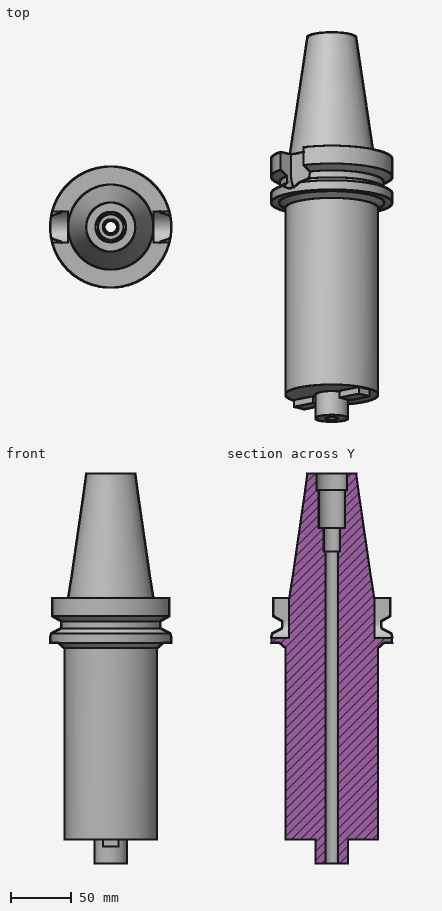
import cadquery as cq
import math

total_length = 321.8

taper_ratio = 7 / 24
taper_length = 101.7
gauge_radius = 35.0
small_end_radius = gauge_radius - taper_length * taper_ratio / 2
tip_z = taper_length - total_length

flange_diameter = 100.0
flange_radius = flange_diameter / 2
flange_top_z = -1.0
flange_bottom_z = -38.0
groove_centre_z = -23.2
groove_mouth_width = 14.0
groove_floor_radius = 42.8
groove_wall_angle = 30

collar_radius = 43.5
collar_bottom_z = -42.5
body_radius = 38.3
pilot_length = 20.0
pilot_radius = 13.5
body_bottom_z = tip_z + pilot_length

slot_width = 25.7
slot_floor_x = 35.5
slot_bottom_z = -33.8

key_width = 13.0
key_height = 5.8
key_inner_y = 14.8
key_outer_y = 36.5

mouth_bore_radius = 12.5
mouth_bore_depth = 13.8
thread_bore_radius = 10.5
thread_bore_depth = 45.0
relief_bore_radius = 6.5
relief_bore_depth = 64.5
through_bore_radius = 5.0


def turned_blank():
    groove_half_mouth = groove_mouth_width / 2
    groove_wall_height = (flange_radius - groove_floor_radius) * math.tan(math.radians(groove_wall_angle))
    groove_half_floor = groove_half_mouth - groove_wall_height
    profile = [
        (0, taper_length),
        (small_end_radius, taper_length),
        (gauge_radius, 0),
        (gauge_radius, flange_top_z),
        (flange_radius, flange_top_z),
        (flange_radius, groove_centre_z + groove_half_mouth),
        (groove_floor_radius, groove_centre_z + groove_half_floor),
        (groove_floor_radius, groove_centre_z - groove_half_floor),
        (flange_radius, groove_centre_z - groove_half_mouth),
        (flange_radius, flange_bottom_z),
        (collar_radius, flange_bottom_z),
        (body_radius, collar_bottom_z),
        (body_radius, body_bottom_z),
        (pilot_radius, body_bottom_z),
        (pilot_radius, tip_z),
        (0, tip_z),
    ]
    return cq.Workplane("YZ").polyline(profile).close().revolve(360, (0, 0), (0, 1))


def drive_slot(side):
    """Round-bottomed slot cutter on the +X (side = 1) or -X (side = -1) flank."""
    half_width = slot_width / 2
    arc_centre_z = slot_bottom_z + half_width
    return (
        cq.Workplane("YZ", origin=(side * slot_floor_x, 0, 0))
        .moveTo(-half_width, flange_top_z)
        .lineTo(-half_width, arc_centre_z)
        .threePointArc((0, slot_bottom_z), (half_width, arc_centre_z))
        .lineTo(half_width, flange_top_z)
        .close()
        .extrude(side * flange_radius)
    )


def drive_key(side):
    """Rectangular key below the body on the +Y (side = 1) or -Y (side = -1) side."""
    key_length = key_outer_y - key_inner_y
    centre_y = side * (key_inner_y + key_outer_y) / 2
    return (
        cq.Workplane("XY", origin=(0, centre_y, body_bottom_z))
        .rect(key_width, key_length)
        .extrude(-key_height)
    )


def bore(radius, depth):
    return cq.Workplane("XY", origin=(0, 0, taper_length)).circle(radius).extrude(-depth)


result = turned_blank()
for side in (-1, 1):
    result = result.cut(drive_slot(side)).union(drive_key(side))

bore_steps = [
    (mouth_bore_radius, mouth_bore_depth),
    (thread_bore_radius, thread_bore_depth),
    (relief_bore_radius, relief_bore_depth),
    (through_bore_radius, total_length),
]
for radius, depth in bore_steps:
    result = result.cut(bore(radius, depth))